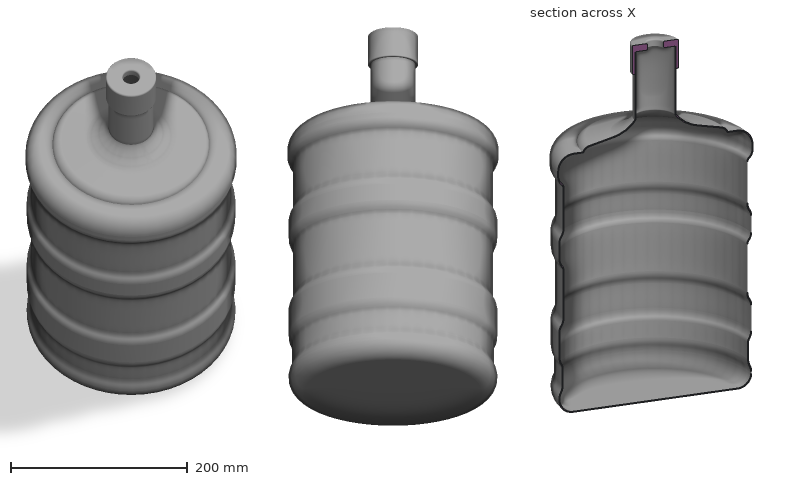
import cadquery as cq

total_height = 433.14
wall = 1.775

neck_radius = 50.9 / 2
cap_radius = 57 / 2
cap_height = 35.5
cap_plate = 8.5
cap_hole_radius = 19 / 2
cap_edge_round = 2.0
cap_mouth_round = 1.0
neck_top = total_height - cap_plate
cap_bottom = total_height - cap_height

shoulder_radius = 239.45 / 2
band_radius = 118.2
waist_radius = 113.3
foot_waist_radius = 114.3

foot_round = 17.5
shoulder_round = 20.0

foot_flare = 26.5
lower_band_bottom = 59.0
lower_band_top = 107.0
upper_band_bottom = 177.5
upper_band_top = 215.0
shoulder_bottom = 277.0
shoulder_top = 313.2

underside_bulge = 10.0
underside_hollow = 4.0
upside_bulge = 8.0
upside_hollow = 8.0

dome_radius = 89.0
dome_rim_middle = (84.8, 318.0)
dome_rim_end = (79.0, 320.2)
dome_slope_end = (50.0, 326.8)
dome_top = 343.0


def flare_out(outline, inner, outer, height):
    """Go up from a narrow wall to a wider one by a hollow arc and a bulging arc."""
    flare = underside_hollow + underside_bulge
    turn = inner + (outer - inner) * underside_hollow / flare
    return (
        outline.lineTo(inner, height - underside_hollow)
        .tangentArcPoint((turn, height), relative=False)
        .tangentArcPoint((outer, height + underside_bulge), relative=False)
    )


def flare_in(outline, outer, inner, height):
    """Go up from a wide wall to a narrower one by a bulging arc and a hollow arc."""
    flare = upside_bulge + upside_hollow
    turn = outer - (outer - inner) * upside_bulge / flare
    return (
        outline.lineTo(outer, height - upside_bulge)
        .tangentArcPoint((turn, height), relative=False)
        .tangentArcPoint((inner, height + upside_hollow), relative=False)
    )


def make_bottle():
    """Turned bottle: banded body, domed top and straight neck, hollowed to an even wall."""
    outline = cq.Workplane("XZ").lineTo(band_radius - foot_round, 0)
    outline = outline.tangentArcPoint((band_radius, foot_round), relative=False)
    outline = flare_in(outline, band_radius, foot_waist_radius, foot_flare)
    outline = flare_out(outline, foot_waist_radius, band_radius, lower_band_bottom)
    outline = flare_in(outline, band_radius, waist_radius, lower_band_top)
    outline = flare_out(outline, waist_radius, band_radius, upper_band_bottom)
    outline = flare_in(outline, band_radius, waist_radius, upper_band_top)
    outline = flare_out(outline, waist_radius, shoulder_radius, shoulder_bottom)
    outline = (
        outline.lineTo(shoulder_radius, shoulder_top - shoulder_round)
        .tangentArcPoint((shoulder_radius - shoulder_round, shoulder_top), relative=False)
        .lineTo(dome_radius, shoulder_top)
        .threePointArc(dome_rim_middle, dome_rim_end)
        .lineTo(*dome_slope_end)
        .tangentArcPoint((neck_radius, dome_top), relative=False)
        .lineTo(neck_radius, neck_top)
        .lineTo(0, neck_top)
        .close()
    )
    return outline.revolve(360, (0, 0, 0), (0, 1, 0)).faces(">Z").shell(-wall)


def make_cap():
    """Cap that sits over the neck, with a rounded hole through its top plate."""
    cap = (
        cq.Workplane("XY", origin=(0, 0, cap_bottom))
        .circle(cap_radius)
        .extrude(cap_height)
        .faces(">Z")
        .workplane()
        .hole(2 * cap_hole_radius)
        .faces(">Z")
        .edges()
        .fillet(cap_edge_round)
        .faces("<Z")
        .edges(cq.selectors.RadiusNthSelector(-1))
        .fillet(cap_mouth_round)
    )
    socket = (
        cq.Workplane("XY", origin=(0, 0, cap_bottom))
        .circle(neck_radius)
        .extrude(neck_top - cap_bottom)
    )
    return cap.cut(socket)


bottle = make_bottle()
cap = make_cap()

result = cq.Compound.makeCompound([bottle.val(), cap.val()])